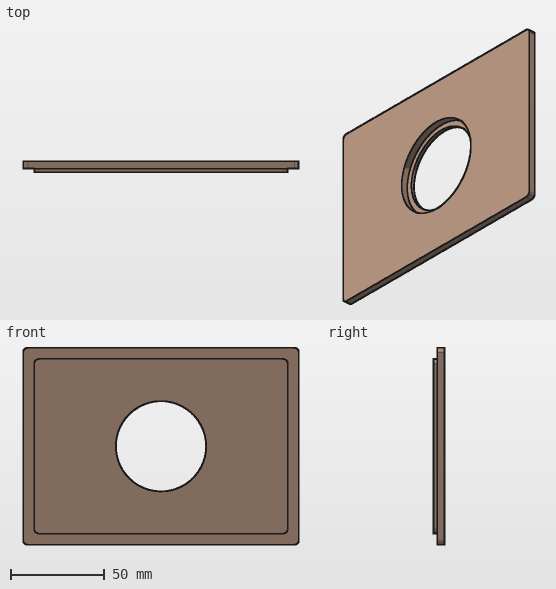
import cadquery as cq

plate_width = 147.0
plate_height = 105.0
plate_thickness = 4.0
panel_width = 135.0
panel_height = 93.0
panel_thickness = 2.0
corner_radius = 2.5

total_thickness = plate_thickness + panel_thickness
opening_diameter = 48.0
recess_diameter = 54.5
lip_thickness = 2.0


def rounded_slab(width, height, thickness, front_y):
    """Slab standing in XZ, front face at front_y, corners rounded along Y."""
    return (
        cq.Workplane("XY")
        .box(width, thickness, height, centered=(True, False, True))
        .edges("|Y")
        .fillet(corner_radius)
        .translate((0, front_y, 0))
    )


def round_cutter(diameter, front_y, depth):
    """Cylinder along +Y, starting at front_y."""
    return (
        cq.Workplane("XZ", origin=(0, front_y, 0))
        .circle(diameter / 2)
        .extrude(-depth)
    )


panel = rounded_slab(panel_width, panel_height, panel_thickness, 0)
plate = rounded_slab(plate_width, plate_height, plate_thickness, panel_thickness)

opening = round_cutter(opening_diameter, 0, total_thickness)
recess = round_cutter(recess_diameter, lip_thickness, total_thickness - lip_thickness)

result = plate.union(panel).cut(opening).cut(recess)